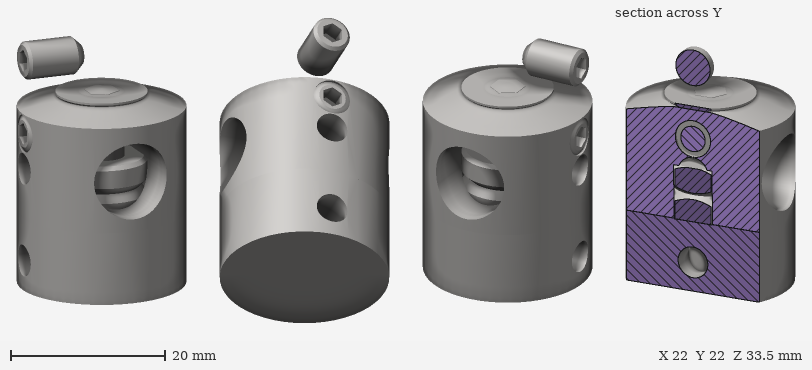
import cadquery as cq
import math

TOTAL_HEIGHT = 33.5
BODY_RADIUS = 22.0 / 2
BASE_TOP = 9.68
SHOULDER_Z = 23.8
HOUSING_TOP = 25.23
CROSS_HOLE_DIAMETER = 10.2
SIDE_HOLE_DIAMETER = 4.2
CROSS_HOLE_Z = 16.4
BASE_HOLE_Z = 4.02

SHAFT_RADIUS = 6.0 / 2
BARREL_RADIUS = 12.0 / 2
BARREL_BORE_RADIUS = 12.1 / 2
BARREL_TOP = 17.1
BARREL_CHAMFER = 0.5
GROOVE_Z = 13.15
GROOVE_DEPTH = 1.0
CAP_TOP = 25.73
CAP_BEVEL = 0.25
TIP_HEIGHT = 0.25
HEX_PAD_HEIGHT = 0.07
HEX_PAD_FLATS = 4.02

SCREW_RADIUS = 5.0 / 2
SCREW_TIP_RADIUS = 1.4
SCREW_NOSE_LENGTH = 1.2
SCREW_CHAMFER_LENGTH = 0.37
LOOSE_SCREW_LENGTH = BODY_RADIUS - SHAFT_RADIUS
FITTED_SCREW_LENGTH = 6.03
LOOSE_FACE_RADIUS = 4.2 / 2
FITTED_FACE_RADIUS = 3.62 / 2
SOCKET_FLATS = 2.55
SOCKET_DEPTH = 2.55
FITTED_SCREW_Z = 21.15
LOOSE_SCREW_Z = TOTAL_HEIGHT - SCREW_RADIUS


def hexagon_diameter(flats):
    """Corner-to-corner size of a hexagon from its size across flats."""
    return 2 * flats / math.sqrt(3)


def revolve_profile(points):
    """Solid of revolution about Z from (radius, z) points."""
    return cq.Workplane("XZ").polyline(points).close().revolve(360, (0, 0), (0, 1))


def z_cylinder(radius, bottom, top):
    return cq.Workplane("XY").workplane(offset=bottom).circle(radius).extrude(top - bottom)


def front_hole(z):
    """Radial hole cutter from the axis out through the -Y side."""
    return cq.Workplane("XZ").center(0, z).circle(SIDE_HOLE_DIAMETER / 2).extrude(BODY_RADIUS)


def make_set_screw(z, length, face_radius):
    """Set screw along Y, with its socket facing -Y and level with the housing."""
    profile = [
        (0, 0),
        (SCREW_TIP_RADIUS, 0),
        (SCREW_RADIUS, SCREW_NOSE_LENGTH),
        (SCREW_RADIUS, length - SCREW_CHAMFER_LENGTH),
        (face_radius, length),
        (0, length),
    ]
    socket = (
        cq.Workplane("XY")
        .workplane(offset=length - SOCKET_DEPTH)
        .polygon(6, hexagon_diameter(SOCKET_FLATS))
        .extrude(SOCKET_DEPTH)
        .rotate((0, 0, 0), (0, 0, 1), 90)
    )
    screw = revolve_profile(profile).cut(socket)
    return screw.rotate((0, 0, 0), (1, 0, 0), 90).translate((0, length - BODY_RADIUS, z))


def make_housing(fitted_screw_space):
    housing = revolve_profile([
        (0, BASE_TOP),
        (BODY_RADIUS, BASE_TOP),
        (BODY_RADIUS, SHOULDER_Z),
        (BARREL_RADIUS, HOUSING_TOP),
        (0, HOUSING_TOP),
    ])
    cross_hole = (
        cq.Workplane("YZ")
        .center(0, CROSS_HOLE_Z)
        .circle(CROSS_HOLE_DIAMETER / 2)
        .extrude(BODY_RADIUS, both=True)
    )
    return (
        housing.cut(z_cylinder(SHAFT_RADIUS, BASE_TOP, HOUSING_TOP))
        .cut(z_cylinder(BARREL_BORE_RADIUS, BASE_TOP, BARREL_TOP))
        .cut(cross_hole)
        .cut(front_hole(CROSS_HOLE_Z))
        .cut(fitted_screw_space)
    )


def make_base():
    base = z_cylinder(BODY_RADIUS, 0, BASE_TOP)
    return base.cut(z_cylinder(SHAFT_RADIUS, 0, BASE_TOP)).cut(front_hole(BASE_HOLE_Z))


def make_spindle():
    """Shaft with a grooved barrel in the housing and a cap on top of it."""
    spindle = revolve_profile([
        (0, 0),
        (SHAFT_RADIUS, 0),
        (SHAFT_RADIUS, BASE_TOP),
        (BARREL_RADIUS, BASE_TOP),
        (BARREL_RADIUS, GROOVE_Z - GROOVE_DEPTH),
        (BARREL_RADIUS - GROOVE_DEPTH, GROOVE_Z),
        (BARREL_RADIUS, GROOVE_Z + GROOVE_DEPTH),
        (BARREL_RADIUS, BARREL_TOP - BARREL_CHAMFER),
        (BARREL_RADIUS - BARREL_CHAMFER, BARREL_TOP),
        (SHAFT_RADIUS, BARREL_TOP),
        (SHAFT_RADIUS, HOUSING_TOP),
        (BARREL_RADIUS - CAP_BEVEL, HOUSING_TOP),
        (BARREL_RADIUS, HOUSING_TOP + CAP_BEVEL),
        (BARREL_RADIUS, CAP_TOP),
        (SHAFT_RADIUS, CAP_TOP),
        (0, CAP_TOP + TIP_HEIGHT),
    ])
    raised_cone = revolve_profile([
        (0, HOUSING_TOP),
        (SHAFT_RADIUS, HOUSING_TOP),
        (SHAFT_RADIUS, CAP_TOP + HEX_PAD_HEIGHT),
        (0, CAP_TOP + TIP_HEIGHT + HEX_PAD_HEIGHT),
    ])
    hex_prism = (
        cq.Workplane("XY")
        .workplane(offset=HOUSING_TOP)
        .polygon(6, hexagon_diameter(HEX_PAD_FLATS))
        .extrude(TOTAL_HEIGHT - HOUSING_TOP)
    )
    return spindle.union(raised_cone.intersect(hex_prism))


fitted_screw_space = (
    cq.Workplane("XZ", origin=(0, FITTED_SCREW_LENGTH - BODY_RADIUS, FITTED_SCREW_Z))
    .circle(SCREW_RADIUS)
    .extrude(FITTED_SCREW_LENGTH)
)

housing = make_housing(fitted_screw_space)
base = make_base()
spindle = make_spindle()
screw_sizes = [
    (FITTED_SCREW_Z, FITTED_SCREW_LENGTH, FITTED_FACE_RADIUS),
    (LOOSE_SCREW_Z, LOOSE_SCREW_LENGTH, LOOSE_FACE_RADIUS),
]
set_screws = [make_set_screw(*sizes).val() for sizes in screw_sizes]

result = cq.Compound.makeCompound([housing.val(), base.val(), spindle.val(), *set_screws])